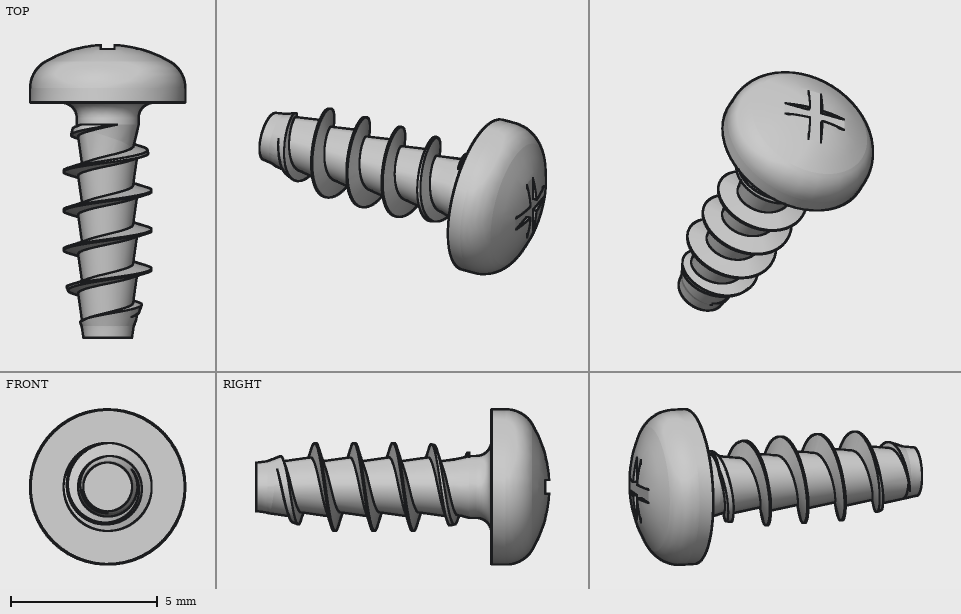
import cadquery as cq
import math


head_radius = 2.65
head_height = 1.99
rim_height = 0.5
shoulder_radius = 1.05
rim_chamfer = 0.03

slot_width = 0.46
slot_depth = 0.15

neck_radius = 1.06
neck_fillet = 0.5
neck_length = 0.74

shank_length = 8.0
thread_radius = 1.5
thread_start_radius = 1.17
thread_start_taper = 0.22
tip_radius = 0.83
tip_cone_length = 0.5
tip_cone_taper = 0.15
thread_end_depth = 7.6
thread_end_taper = 0.38
pitch = 4 / 3
crest_land = 0.05
flank_angle = 15
root_radius_high = 1.01
root_radius_low = 0.87
crest_depth_at_x = 1.66
runout_length = 0.8
groove_clearance = 0.3


def revolve_outline(outline):
    """Solid of revolution about the screw axis from (radius, height) points."""
    return cq.Workplane("XZ").polyline(outline).close().revolve(360, (0, 0, 0), (0, 1, 0))


def make_head_and_neck():
    """Domed head, fillet under the head and plain neck, as one revolved outline."""
    shoulder_center_r = head_radius - shoulder_radius
    rise = head_height - rim_height
    dome_radius = (shoulder_center_r**2 + rise**2 - shoulder_radius**2) / (2 * (rise - shoulder_radius))
    dome_center_z = head_height - dome_radius
    tangent_angle = math.atan2(rim_height - dome_center_z, shoulder_center_r)

    def dome_point(angle):
        return (dome_radius * math.cos(angle), dome_center_z + dome_radius * math.sin(angle))

    def shoulder_point(angle):
        return (
            shoulder_center_r + shoulder_radius * math.cos(angle),
            rim_height + shoulder_radius * math.sin(angle),
        )

    fillet_reach = neck_fillet * (1 - math.sqrt(0.5))
    outline = (
        cq.Workplane("XZ")
        .moveTo(0, -neck_length)
        .lineTo(neck_radius, -neck_length)
        .lineTo(neck_radius, -neck_fillet)
        .threePointArc((neck_radius + fillet_reach, -fillet_reach), (neck_radius + neck_fillet, 0))
        .lineTo(head_radius - rim_chamfer, 0)
        .lineTo(head_radius, rim_chamfer)
        .lineTo(head_radius, rim_height)
        .threePointArc(shoulder_point(tangent_angle / 2), shoulder_point(tangent_angle))
        .threePointArc(dome_point((tangent_angle + math.pi / 2) / 2), (0, head_height))
        .close()
    )
    return outline.revolve(360, (0, 0, 0), (0, 1, 0))


def make_cross_slots():
    """Two crossing slots through the crown of the dome."""
    floor = cq.Workplane("XY").workplane(offset=head_height - slot_depth)
    slot_length = 2 * head_radius
    slot_x = floor.rect(slot_length, slot_width).extrude(slot_depth)
    slot_y = floor.rect(slot_width, slot_length).extrude(slot_depth)
    return slot_x.union(slot_y)


def make_thread_blank():
    """Crest envelope of the thread, tapered at both ends."""
    full_thread_top = -neck_length - (thread_radius - thread_start_radius) / thread_start_taper
    thread_end_radius = tip_radius + (shank_length - thread_end_depth) * tip_cone_taper
    full_thread_bottom = -thread_end_depth + (thread_radius - thread_end_radius) / thread_end_taper
    outline = [
        (0, -neck_length),
        (thread_start_radius, -neck_length),
        (thread_radius, full_thread_top),
        (thread_radius, full_thread_bottom),
        (thread_end_radius, -thread_end_depth),
        (0, -thread_end_depth),
    ]
    return revolve_outline(outline)


def make_groove():
    """Helical groove between the thread turns, with a sloping floor."""
    turns_below_top_crest = math.ceil(shank_length / pitch)
    turns = turns_below_top_crest + 2
    start_z = -crest_depth_at_x - turns_below_top_crest * pitch
    flank_slope = math.tan(math.radians(flank_angle))
    outer_radius = thread_radius + groove_clearance

    def flank_offset(radius):
        return crest_land / 2 + (thread_radius - radius) * flank_slope

    profile = [
        (outer_radius, start_z + crest_land / 2),
        (thread_radius, start_z + crest_land / 2),
        (root_radius_low, start_z + flank_offset(root_radius_low)),
        (root_radius_high, start_z + pitch - flank_offset(root_radius_high)),
        (thread_radius, start_z + pitch - crest_land / 2),
        (outer_radius, start_z + pitch - crest_land / 2),
    ]
    path = cq.Wire.makeHelix(pitch, turns * pitch, thread_radius)
    path = path.moved(cq.Location(cq.Vector(0, 0, start_z)))
    return cq.Workplane("XZ").polyline(profile).close().sweep(path, isFrenet=True)


def make_runout_cone():
    """Cone that carries the neck diameter down into the core."""
    outline = [
        (0, -neck_length),
        (neck_radius, -neck_length),
        (root_radius_low, -neck_length - runout_length),
        (0, -neck_length - runout_length),
    ]
    return revolve_outline(outline)


def make_tip_cone():
    """Plain cone at the tip, below the end of the thread."""
    cone_top = tip_cone_length - shank_length
    outline = [
        (0, cone_top),
        (tip_radius + tip_cone_length * tip_cone_taper, cone_top),
        (tip_radius, -shank_length),
        (0, -shank_length),
    ]
    return revolve_outline(outline)


head = make_head_and_neck().cut(make_cross_slots())
threaded_shank = make_thread_blank().cut(make_groove())
screw = threaded_shank.union(make_runout_cone()).union(make_tip_cone()).union(head)
result = screw.rotate((0, 0, 0), (1, 0, 0), -90).solids()